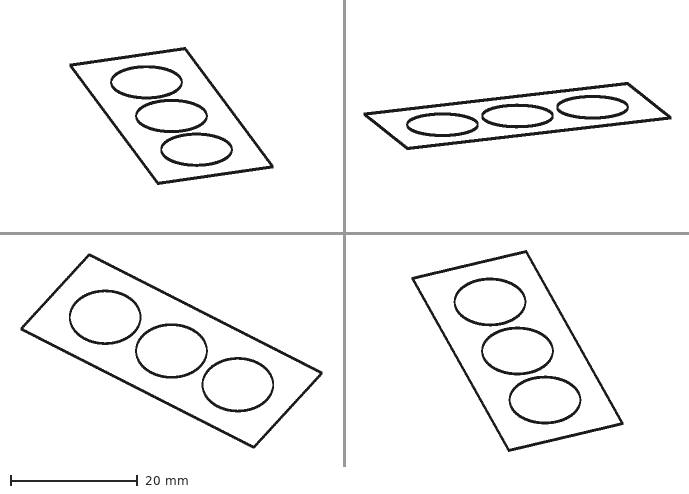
import cadquery as cq

length = 44.45
width = 19.05
thickness = 0.25

hole_diameter = 11.15
hole_pitch = 12.65
hole_count = 3

plate = cq.Workplane("XY").box(length, width, thickness)

result = (
    plate.faces(">Z")
    .workplane()
    .rarray(hole_pitch, width, hole_count, 1)
    .hole(hole_diameter)
)